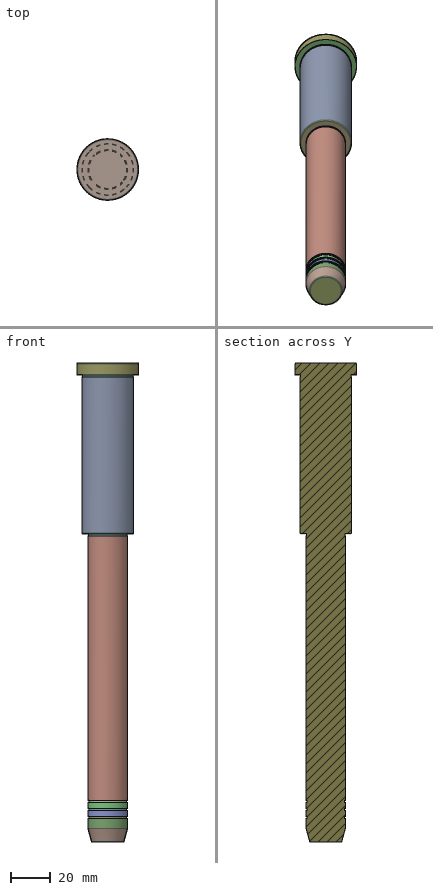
import cadquery as cq
import math

TOTAL_LENGTH = 241.0
HEAD_DIAMETER = 31.0
HEAD_HEIGHT = 6.0
COLLAR_DIAMETER = 26.0
COLLAR_LENGTH = 80.0
PIN_DIAMETER = 20.0

EDGE_RADIUS = 0.5

RELIEF_WIDTH = 1.0
RELIEF_DEPTH = 0.2

NOSE_LENGTH = 7.0
NOSE_HALF_ANGLE = 15.0

GROOVE_COUNT = 3
GROOVE_PITCH = 4.0
GROOVE_WIDTH = 1.0
GROOVE_DEPTH = 0.5
NOSE_TO_FIRST_GROOVE = 5.0

HEAD_BOTTOM = TOTAL_LENGTH - HEAD_HEIGHT
COLLAR_BOTTOM = HEAD_BOTTOM - COLLAR_LENGTH
FIRST_GROOVE_BOTTOM = NOSE_LENGTH + NOSE_TO_FIRST_GROOVE


def cylinder(diameter, bottom, top):
    """Solid cylinder about the Z axis between two heights."""
    return cq.Workplane("XY").workplane(offset=bottom).circle(diameter / 2).extrude(top - bottom)


def ring(diameter, depth, bottom, top):
    """Ring that cuts a groove of the given depth into a cylinder of the given diameter."""
    return cylinder(diameter, bottom, top).cut(cylinder(diameter - 2 * depth, bottom, top))


def make_head():
    head = cylinder(HEAD_DIAMETER, HEAD_BOTTOM, TOTAL_LENGTH)
    return head.faces(">Z").edges().fillet(EDGE_RADIUS)


def make_collar():
    collar = cylinder(COLLAR_DIAMETER, COLLAR_BOTTOM, HEAD_BOTTOM)
    collar = collar.faces("<Z").edges().fillet(EDGE_RADIUS)
    return collar.cut(ring(COLLAR_DIAMETER, RELIEF_DEPTH, HEAD_BOTTOM - RELIEF_WIDTH, HEAD_BOTTOM))


def make_nose():
    """Cone that narrows from the pin to a rounded tip edge."""
    pin_radius = PIN_DIAMETER / 2
    tip_radius = pin_radius - NOSE_LENGTH * math.tan(math.radians(NOSE_HALF_ANGLE))
    profile = (
        cq.Workplane("XZ")
        .lineTo(tip_radius, 0)
        .lineTo(pin_radius, NOSE_LENGTH)
        .lineTo(0, NOSE_LENGTH)
        .close()
    )
    nose = profile.revolve(360, (0, 0, 0), (0, 1, 0))
    return nose.faces("<Z").edges().fillet(EDGE_RADIUS)


def make_pin():
    """Long pin with its nose, the relief below the collar and the ring grooves."""
    pin = cylinder(PIN_DIAMETER, NOSE_LENGTH, COLLAR_BOTTOM).union(make_nose())
    pin = pin.cut(ring(PIN_DIAMETER, RELIEF_DEPTH, COLLAR_BOTTOM - RELIEF_WIDTH, COLLAR_BOTTOM))
    for index in range(GROOVE_COUNT):
        bottom = FIRST_GROOVE_BOTTOM + index * GROOVE_PITCH
        pin = pin.cut(ring(PIN_DIAMETER, GROOVE_DEPTH, bottom, bottom + GROOVE_WIDTH))
    return pin


result = make_head().union(make_collar()).union(make_pin())